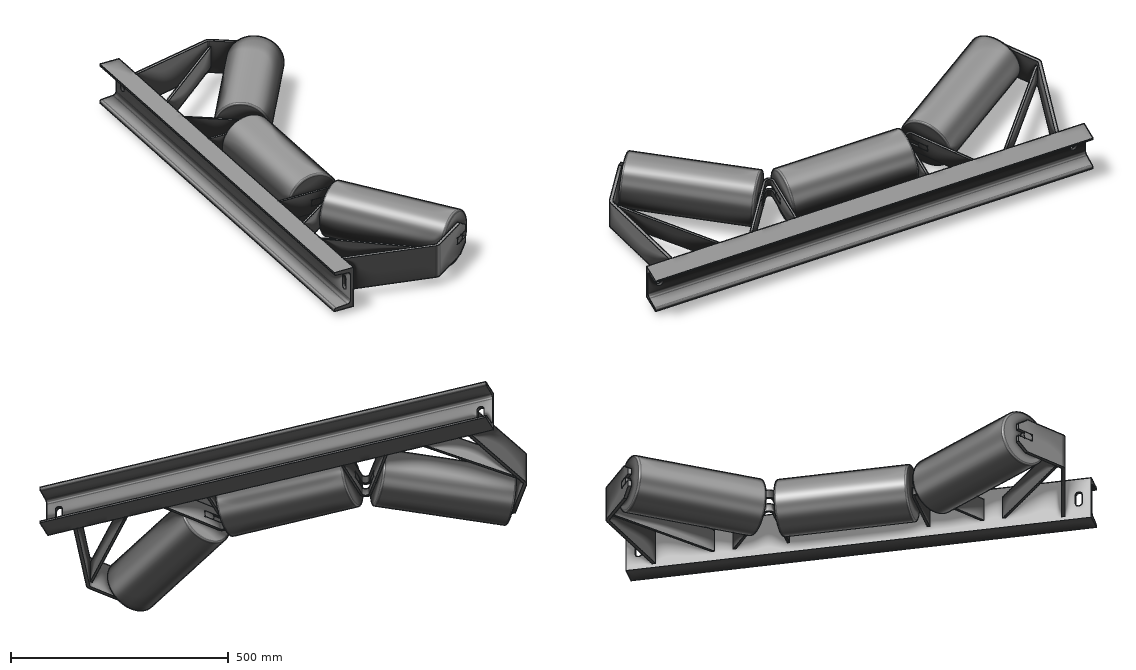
import cadquery as cq
import math


beam_length = 1100.0
beam_height = 103.0
beam_depth = 51.0
web_thickness = 8.0
flange_root_thickness = 11.0
flange_toe_thickness = 8.0
root_radius = 9.0
toe_radius = 5.0
mount_slot_width = 16.0
mount_slot_height = 36.0
mount_slot_inset = 30.0

roller_radius = 66.5
roller_length = 315.0
roller_edge_radius = 4.0
shaft_radius = 12.6
shaft_flat_thickness = 16.0
trough_angle = 35.0
centre_roller_y = 117.0
side_roller_x = 339.0
side_roller_y = 223.0

outer_bracket_width = 84.0
inner_bracket_width = 55.0
brace_width = inner_bracket_width
roller_gap = 5.0
inner_bracket_thickness = 5.0
inner_bend_radius = 9.0
outer_bracket_thickness = 8.0
outer_bend_radius = 7.0
outer_bend_drop = 111.0
outer_tip_rise = 30.0
tip_chamfer_length = 28.0
tip_chamfer_width = 19.0
outer_foot_x = 483.0
brace_thickness = inner_bracket_thickness
brace_foot_x = 341.0
brace_rise = 7.0

foot_y = -web_thickness / 2
slope_cos = math.cos(math.radians(trough_angle))
slope_sin = math.sin(math.radians(trough_angle))
bracket_face = roller_length / 2 + roller_gap
shaft_inner_reach = bracket_face + inner_bracket_thickness
shaft_outer_reach = bracket_face + outer_bracket_thickness


def side_point(along, across):
    """Point in the left roller's frame: along its axis (+ inward), across it (+ upward)."""
    return (
        -side_roller_x + along * slope_cos + across * slope_sin,
        side_roller_y - along * slope_sin + across * slope_cos,
    )


def on_centre_roller(shape):
    """Moves a shape built around the origin to the centre roller's place."""
    return shape.translate((0, centre_roller_y, 0))


def on_left_roller(shape):
    """Moves a shape built around the origin to the left roller's place and tilt."""
    return shape.rotate((0, 0, 0), (0, 0, 1), -trough_angle).translate((-side_roller_x, side_roller_y, 0))


def mirrored(shape):
    """Right-hand (+X) twin of a left-hand shape."""
    return shape.mirror("YZ")


def on_right_roller(shape):
    """Moves a shape to the right roller's place, as the twin of the left roller."""
    return mirrored(on_left_roller(shape))


def strip(start, end, thickness, width):
    """Straight flat bar between two centre-line points."""
    run_x = end[0] - start[0]
    run_y = end[1] - start[1]
    return (
        cq.Workplane("XY")
        .box(math.hypot(run_x, run_y), thickness, width)
        .rotate((0, 0, 0), (0, 0, 1), math.degrees(math.atan2(run_y, run_x)))
        .translate(((start[0] + end[0]) / 2, (start[1] + end[1]) / 2, 0))
    )


def bent_strip(start, bend, end, thickness, width, inner_radius):
    """Flat bar with one rounded bend, given by its centre line."""
    angle_in = math.atan2(bend[1] - start[1], bend[0] - start[0])
    angle_out = math.atan2(end[1] - bend[1], end[0] - bend[0])
    half_turn = math.remainder(angle_out - angle_in, 2 * math.pi) / 2
    offset = thickness / 2

    def beside(point, heading, distance):
        return (point[0] - distance * math.sin(heading), point[1] + distance * math.cos(heading))

    mitre = offset / math.cos(half_turn)
    left_bend = beside(bend, angle_in + half_turn, mitre)
    right_bend = beside(bend, angle_in + half_turn, -mitre)
    outline = [
        beside(start, angle_in, offset),
        left_bend,
        beside(end, angle_out, offset),
        beside(end, angle_out, -offset),
        right_bend,
        beside(start, angle_in, -offset),
    ]
    bottom_plane = cq.Workplane("XY").workplane(offset=-width / 2)
    bar = bottom_plane.polyline(outline).close().extrude(width)
    inside, outside = (left_bend, right_bend) if half_turn > 0 else (right_bend, left_bend)
    for corner, radius in ((inside, inner_radius), (outside, inner_radius + thickness)):
        bar = bar.edges(cq.selectors.NearestToPointSelector((*corner, 0))).fillet(radius)
    return bar


def seat_slot(near_x, far_x):
    """Cutter for a shaft slot open in +Y, with the shaft axis along X through the origin."""
    slot_length = 2 * roller_radius
    return cq.Workplane("XY").box(far_x - near_x, slot_length, shaft_flat_thickness).translate(
        ((near_x + far_x) / 2, slot_length / 2 - shaft_radius, 0)
    )


def make_channel():
    """Channel beam open toward -Y, with tapered flanges and a mounting slot near each end."""
    half_height = beam_height / 2
    root_z = half_height - flange_root_thickness
    toe_z = half_height - flange_toe_thickness
    outline = [
        (0, -half_height),
        (0, half_height),
        (-beam_depth, half_height),
        (-beam_depth, toe_z),
        (-web_thickness, root_z),
        (-web_thickness, -root_z),
        (-beam_depth, -toe_z),
        (-beam_depth, -half_height),
    ]
    end_plane = cq.Workplane("YZ").workplane(offset=-beam_length / 2)
    channel = end_plane.polyline(outline).close().extrude(beam_length)
    for side in (-1, 1):
        root = cq.selectors.NearestToPointSelector((0, -web_thickness, side * root_z))
        toe = cq.selectors.NearestToPointSelector((0, -beam_depth, side * toe_z))
        channel = channel.edges(root).fillet(root_radius).edges(toe).fillet(toe_radius)
    slot_x = beam_length / 2 - mount_slot_inset
    mount_slots = (
        cq.Workplane("XZ")
        .pushPoints([(-slot_x, 0), (slot_x, 0)])
        .slot2D(mount_slot_height, mount_slot_width, 90)
        .extrude(web_thickness)
    )
    return channel.cut(mount_slots)


def make_inner_bracket():
    """Folded bar that holds the inner ends of the left and centre rollers."""
    half = inner_bracket_thickness / 2
    upright_x = -bracket_face - half
    slope_point = side_point(bracket_face + half, 0)
    slope_ratio = slope_cos / slope_sin
    bend = (upright_x, slope_point[1] + (upright_x - slope_point[0]) * slope_ratio)
    slope_foot_x = slope_point[0] - (slope_point[1] - foot_y) / slope_ratio
    bar = bent_strip(
        (upright_x, foot_y),
        bend,
        (slope_foot_x, foot_y),
        inner_bracket_thickness,
        inner_bracket_width,
        inner_bend_radius,
    )
    slot_depth = 2 * (inner_bend_radius + inner_bracket_thickness)
    centre_slot = seat_slot(-bracket_face - slot_depth, -bracket_face)
    side_slot = seat_slot(bracket_face, bracket_face + slot_depth)
    return bar.cut(on_centre_roller(centre_slot)).cut(on_left_roller(side_slot))


def make_outer_bracket():
    """Bent bar and its brace, which hold the outer end of the left roller."""
    mid = -bracket_face - outer_bracket_thickness / 2
    bend = side_point(mid, -outer_bend_drop)
    tip = side_point(mid, outer_tip_rise)
    bar = bent_strip(
        (-outer_foot_x, foot_y),
        bend,
        tip,
        outer_bracket_thickness,
        outer_bracket_width,
        outer_bend_radius,
    )
    half_width = outer_bracket_width / 2
    corner = (
        cq.Workplane("YZ")
        .polyline(
            [
                (outer_tip_rise, half_width),
                (outer_tip_rise - tip_chamfer_length, half_width),
                (outer_tip_rise, half_width - tip_chamfer_width),
            ]
        )
        .close()
        .extrude(-shaft_outer_reach)
    )
    bar = bar.cut(on_left_roller(corner)).cut(on_left_roller(corner.mirror("XY")))
    bar = bar.cut(on_left_roller(seat_slot(-shaft_outer_reach, -bracket_face)))
    brace_top = side_point(mid, brace_rise - outer_bend_drop)
    return bar.union(strip((-brace_foot_x, foot_y), brace_top, brace_thickness, brace_width))


def make_frame():
    """Channel with the brackets welded to its web."""
    frame = make_channel()
    for bracket in (make_inner_bracket(), make_outer_bracket()):
        frame = frame.union(bracket).union(mirrored(bracket))
    return frame


def round_bar(left_reach, right_reach, radius):
    """Round bar along X that reaches the given distances either side of the origin."""
    return cq.Workplane("YZ").workplane(offset=-left_reach).circle(radius).extrude(left_reach + right_reach)


def make_roller():
    """Roller along X, centred on the origin, bored for its shaft."""
    reach = roller_length / 2
    roller = round_bar(reach, reach, roller_radius).faces("<X or >X").edges().fillet(roller_edge_radius)
    return roller.cut(round_bar(reach, reach, shaft_radius))


def make_shaft(left_reach, right_reach):
    """Shaft along X with flats above and below where its ends sit in the bracket slots."""
    middle = cq.Workplane("XY").box(2 * bracket_face, 2 * shaft_radius, 2 * shaft_radius)
    flats = cq.Workplane("XY").box(2 * shaft_outer_reach, 2 * shaft_radius, shaft_flat_thickness)
    return round_bar(left_reach, right_reach, shaft_radius).intersect(middle.union(flats))


frame = make_frame()

rollers = [on_centre_roller(make_roller())]
shafts = [on_centre_roller(make_shaft(shaft_inner_reach, shaft_inner_reach))]
for place in (on_left_roller, on_right_roller):
    rollers.append(place(make_roller()))
    shafts.append(place(make_shaft(shaft_outer_reach, shaft_inner_reach)))

result = cq.Compound.makeCompound([body.val() for body in [frame, *rollers, *shafts]])